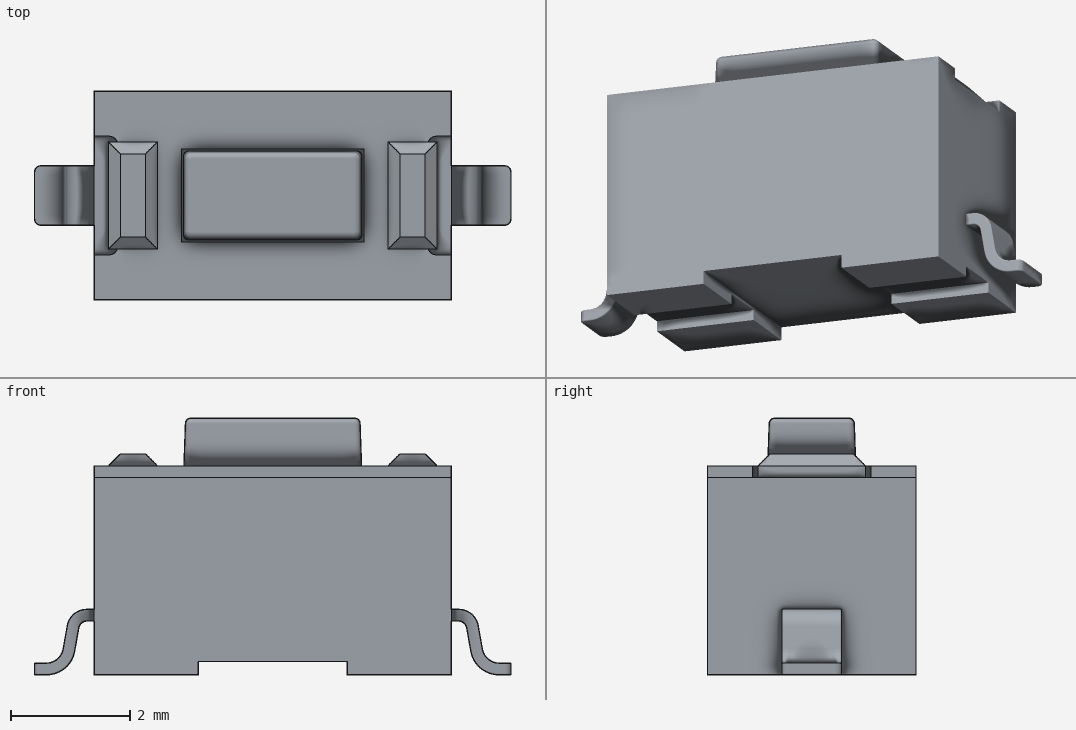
import cadquery as cq
import math

BODY_LENGTH = 6.0
BODY_WIDTH = 3.5
COVER_TOP = 3.51
COVER_THICKNESS = 0.2
HOUSING_TOP = COVER_TOP - COVER_THICKNESS
OVERALL_LENGTH = 8.0

BUTTON_TOP = 4.31
BUTTON_LENGTH = 3.0
BUTTON_WIDTH = 1.5
BUTTON_DRAFT = 2.0
BUTTON_FILLET = 0.1
WINDOW_GAP = 0.03

STUD_LENGTH = 0.82
STUD_WIDTH = 1.8
STUD_BEVEL = 0.2
STUD_SETBACK = 0.24
STUD_CENTER = BODY_LENGTH / 2 - STUD_SETBACK - STUD_LENGTH / 2

NOTCH_WIDTH = 1.99
NOTCH_DEPTH = 0.4
NOTCH_FILLET = 0.15

CHANNEL_LENGTH = 2.5
CHANNEL_DEPTH = 0.22
LEAD_CHANNEL_WIDTH = 1.0
LEAD_CHANNEL_DEPTH = 0.18

LEAD_WIDTH = 1.0
LEAD_THICKNESS = 0.2
LEAD_TOP = 1.1
FOOT_LENGTH = 0.2
FOOT_BEND_RADIUS = 0.38
SHOULDER_BEND_RADIUS = 0.24
BEND_ANGLE = 80.0
FOOT_CORNER_FILLET = 0.1
LEAD_EDGE_FILLET = 0.02

ENDS = (-1, 1)


def make_button():
    """Tapered key standing on top of the housing, rounded at the top and corners."""
    return (
        cq.Workplane("XY", origin=(0, 0, HOUSING_TOP))
        .rect(BUTTON_LENGTH, BUTTON_WIDTH)
        .extrude(BUTTON_TOP - HOUSING_TOP, taper=BUTTON_DRAFT)
        .edges("not #Z")
        .fillet(BUTTON_FILLET)
        .faces(">Z")
        .edges()
        .fillet(BUTTON_FILLET)
    )


def make_stud(end):
    """Block through the cover whose exposed top is bevelled on all four sides."""
    return (
        cq.Workplane("XY", origin=(end * STUD_CENTER, 0, HOUSING_TOP))
        .rect(STUD_LENGTH, STUD_WIDTH)
        .extrude(COVER_THICKNESS + STUD_BEVEL)
        .faces(">Z")
        .chamfer(STUD_BEVEL)
    )


def bend_offset(radius, angle):
    """Run and rise along a bend that starts horizontal and turns through an angle in degrees."""
    turn = math.radians(angle)
    return radius * math.sin(turn), radius * (1 - math.cos(turn))


def make_lead(end):
    """Bent strip from the foot tip, up the riser and over the shoulder to the housing."""
    tip = -OVERALL_LENGTH / 2
    foot_level = LEAD_THICKNESS / 2
    shoulder_level = LEAD_TOP - LEAD_THICKNESS / 2
    slope = math.radians(BEND_ANGLE)

    foot_end = tip + FOOT_LENGTH
    foot_mid_run, foot_mid_rise = bend_offset(FOOT_BEND_RADIUS, BEND_ANGLE / 2)
    foot_run, foot_rise = bend_offset(FOOT_BEND_RADIUS, BEND_ANGLE)
    top_mid_run, top_mid_rise = bend_offset(SHOULDER_BEND_RADIUS, BEND_ANGLE / 2)
    top_run, top_rise = bend_offset(SHOULDER_BEND_RADIUS, BEND_ANGLE)

    riser_rise = shoulder_level - foot_level - foot_rise - top_rise
    riser_run = riser_rise / math.tan(slope)
    shoulder_start = foot_end + foot_run + riser_run + top_run

    path = (
        cq.Workplane("XZ")
        .moveTo(tip, foot_level)
        .lineTo(foot_end, foot_level)
        .threePointArc(
            (foot_end + foot_mid_run, foot_level + foot_mid_rise),
            (foot_end + foot_run, foot_level + foot_rise),
        )
        .lineTo(shoulder_start - top_run, shoulder_level - top_rise)
        .threePointArc(
            (shoulder_start - top_mid_run, shoulder_level - top_mid_rise),
            (shoulder_start, shoulder_level),
        )
        .lineTo(-BODY_LENGTH / 2, shoulder_level)
    )
    lead = (
        cq.Workplane("YZ", origin=(tip, 0, foot_level))
        .rect(LEAD_WIDTH, LEAD_THICKNESS)
        .sweep(path)
        .faces("<X")
        .edges("|Z")
        .fillet(FOOT_CORNER_FILLET)
        .faces("<Y or >Y")
        .edges("not |Z")
        .fillet(LEAD_EDGE_FILLET)
    )
    return lead if end < 0 else lead.mirror("YZ")


def make_housing():
    """Block with underside channels, carrying the button, studs and leads."""
    housing = cq.Workplane("XY").box(BODY_LENGTH, BODY_WIDTH, HOUSING_TOP, centered=(True, True, False))
    cross_channel = cq.Workplane("XY").box(
        CHANNEL_LENGTH, BODY_WIDTH, CHANNEL_DEPTH, centered=(True, True, False)
    )
    lead_channel = cq.Workplane("XY").box(
        BODY_LENGTH, LEAD_CHANNEL_WIDTH, LEAD_CHANNEL_DEPTH, centered=(True, True, False)
    )
    housing = housing.cut(cross_channel).cut(lead_channel).union(make_button())
    for end in ENDS:
        housing = housing.union(make_stud(end)).union(make_lead(end))
    return housing


def make_notch(end):
    """Cutter for one end notch, rounded at its two inner corners."""
    inner_corners = ">X" if end < 0 else "<X"
    return (
        cq.Workplane("XY", origin=(end * (BODY_LENGTH - NOTCH_DEPTH) / 2, 0, HOUSING_TOP))
        .box(NOTCH_DEPTH, NOTCH_WIDTH, COVER_THICKNESS, centered=(True, True, False))
        .faces(inner_corners)
        .edges("|Z")
        .fillet(NOTCH_FILLET)
    )


def make_cover():
    """Plate on the housing with a button window, end notches and stud openings."""
    window_length = BUTTON_LENGTH + 2 * WINDOW_GAP
    window_width = BUTTON_WIDTH + 2 * WINDOW_GAP
    cover = (
        cq.Workplane("XY", origin=(0, 0, HOUSING_TOP))
        .rect(BODY_LENGTH, BODY_WIDTH)
        .rect(window_length, window_width)
        .extrude(COVER_THICKNESS)
    )
    for end in ENDS:
        cover = cover.cut(make_notch(end)).cut(make_stud(end))
    return cover


housing = make_housing()
cover = make_cover()
result = cq.Compound.makeCompound([housing.val(), cover.val()])